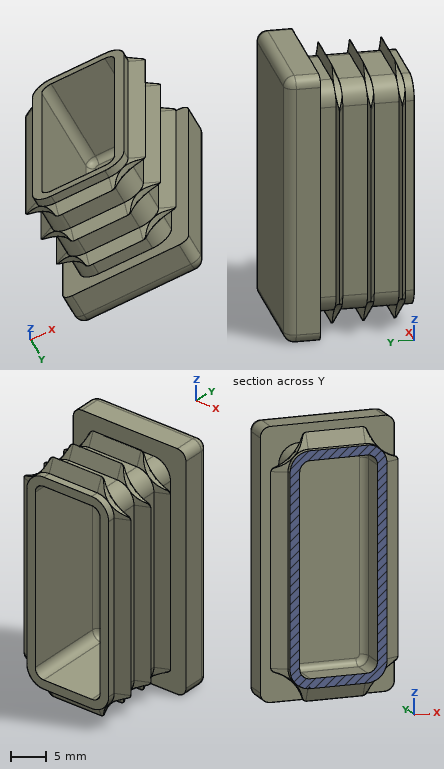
import cadquery as cq
import math

head_width = 20.0
head_height = 40.0
head_depth = 5.0
head_radius = 1.5

body_width = 14.5
body_height = 34.5
body_length = 14.0
body_radius = 3.0
wall = body_radius / 2
floor_radius = 1.0

rib_rise = 2.25
rib_thickness = 0.95
rib_count = 3
first_rib = 2.8
rib_span = 9.0
rib_pitch = rib_span / (rib_count - 1)
notch_radius = 6.35
rib_corner_radius = 0.75


def rounded_block(width, height, radius, start, length, taper=0.0):
    """Rounded rectangle centred on the Y axis, extruded toward -Y from Y = -start."""
    outline = cq.Sketch().rect(width, height).vertices().fillet(radius)
    plane = cq.Workplane("XZ", origin=(0, -start, 0))
    return plane.placeSketch(outline).extrude(length, taper=taper)


def make_head():
    """Block whose four long edges and far rim share one radius, so its far corners are round."""
    block = cq.Workplane("XY").box(
        head_width, head_depth, head_height, centered=(True, False, True)
    )
    return block.edges("|Y or >Y").fillet(head_radius)


def make_cavity():
    """Blind pocket, as deep as the body, with a rounded floor edge."""
    pocket = rounded_block(
        body_width - 2 * wall, body_height - 2 * wall, body_radius - wall, 0, body_length
    )
    return pocket.faces(">Y").edges().fillet(floor_radius)


def make_corner_notches(start):
    """Four cylinders that touch the rounded body corners on their diagonals."""
    reach = (body_radius + notch_radius) / math.sqrt(2)
    centre_x = body_width / 2 - body_radius + reach
    centre_z = body_height / 2 - body_radius + reach
    plane = cq.Workplane("XZ", origin=(0, -start, 0))
    centres = plane.rect(2 * centre_x, 2 * centre_z, forConstruction=True).vertices()
    return centres.circle(notch_radius).extrude(rib_thickness)


def make_rib(start):
    """Flange with a flat back and a sloping front, cut away at the four corners."""
    width = body_width + 2 * rib_rise
    height = body_height + 2 * rib_rise
    corner = body_radius + rib_rise
    taper = math.degrees(math.atan2(rib_rise, rib_thickness))
    flange = rounded_block(width, height, corner, start, rib_thickness, taper)
    plane = cq.Workplane("XZ", origin=(0, -start, 0))
    envelope = plane.rect(width, height).extrude(rib_thickness)
    envelope = envelope.cut(make_corner_notches(start)).edges("|Y").fillet(rib_corner_radius)
    return flange.intersect(envelope)


result = make_head()
result = result.union(rounded_block(body_width, body_height, body_radius, 0, body_length))
for index in range(rib_count):
    result = result.union(make_rib(first_rib + index * rib_pitch))
result = result.cut(make_cavity()).solids()